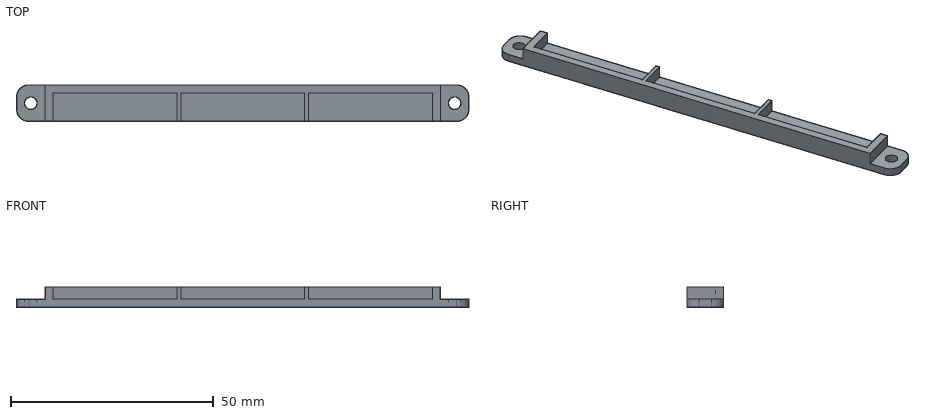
import cadquery as cq

length = 111.5
depth = 9.0
height = 5.0

base_thickness = 2.0
tab_length = 7.0
corner_radius = 3.0
hole_diameter = 3.0
hole_spacing = length - tab_length

wall_thickness = 2.0
divider_thickness = 1.0
bay_count = 3

tray_length = length - 2 * tab_length
wall_height = height - base_thickness
inner_length = tray_length - 2 * wall_thickness
bay_length = (inner_length - (bay_count - 1) * divider_thickness) / bay_count


def make_base():
    """Plate with rounded corners and one through hole in each tab."""
    return (
        cq.Workplane("XY")
        .box(length, depth, base_thickness, centered=(True, True, False))
        .edges("|Z")
        .fillet(corner_radius)
        .faces(">Z")
        .workplane()
        .pushPoints([(-hole_spacing / 2, 0), (hole_spacing / 2, 0)])
        .hole(hole_diameter)
    )


def make_wall(x_start, y_start, x_size, y_size):
    """Upright wall on the base, placed by its lowest X and Y corner."""
    return (
        cq.Workplane("XY")
        .box(x_size, y_size, wall_height, centered=False)
        .translate((x_start, y_start, base_thickness))
    )


front = -depth / 2
tray_start = -tray_length / 2
inner_start = -inner_length / 2

result = make_base()

result = result.union(make_wall(tray_start, depth / 2 - wall_thickness, tray_length, wall_thickness))
for wall_start in (tray_start, inner_start + inner_length):
    result = result.union(make_wall(wall_start, front, wall_thickness, depth))

for index in range(1, bay_count):
    divider_start = inner_start + index * bay_length + (index - 1) * divider_thickness
    result = result.union(make_wall(divider_start, front, divider_thickness, depth))